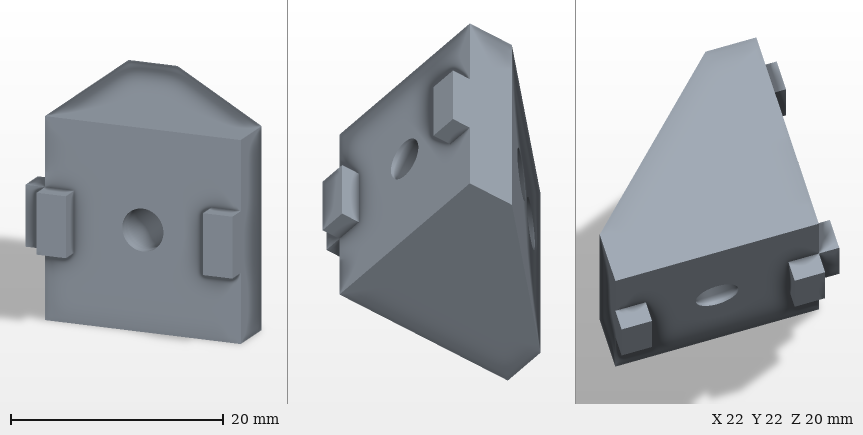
import cadquery as cq

overall = 22.0
body = 20.0
end_flat = 5.0
tab_width = 3.0
tab_height = 6.07
hole_diameter = 4.2
tab_reach = overall - body
middle = body / 2


def make_body():
    """Square block with its +X +Y corner cut away at 45 degrees."""
    outline = [(0, 0), (body, 0), (body, end_flat), (end_flat, body), (0, body)]
    return cq.Workplane("XY").polyline(outline).close().extrude(body)


def make_tab(x, y, length_x, length_y):
    """Locating tab, centred in height, with its low corner at x, y."""
    tab = cq.Workplane("XY").box(length_x, length_y, tab_height, centered=(False, False, True))
    return tab.translate((x, y, middle))


def make_hole(plane):
    """Round cutter along the normal of the plane, through the whole block."""
    hole = cq.Workplane(plane).circle(hole_diameter / 2).extrude(body, both=True)
    return hole.translate((middle, middle, middle))


result = make_body()

for start in (0, body - tab_width):
    result = result.union(make_tab(start, -tab_reach, tab_width, tab_reach))
    result = result.union(make_tab(-tab_reach, start, tab_reach, tab_width))

for plane in ("XZ", "YZ"):
    result = result.cut(make_hole(plane))